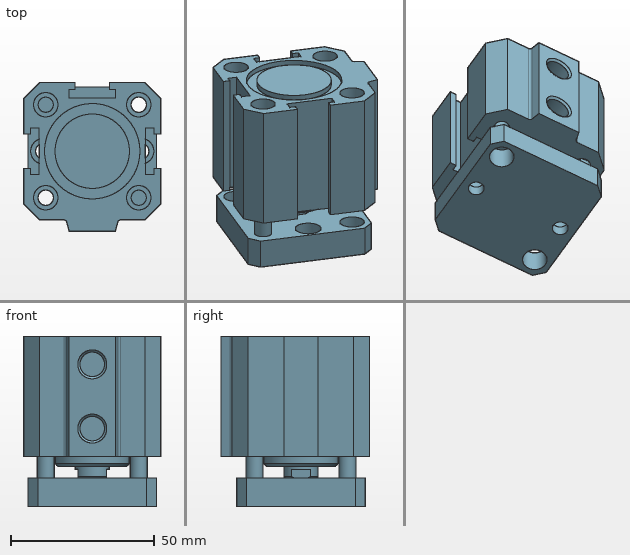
import cadquery as cq
import math

total_height = 59.5
plate_height = 10.0
gap_height = 7.5
housing_bottom = plate_height + gap_height
housing_height = total_height - housing_bottom

housing_width = 48.0
housing_chamfer = 5.6
slot_opening = 12.0
slot_inner_width = 16.3
slot_lip = 2.4
slot_depth = 5.5

pad_height = 4.0
pad_tip_width = 16.2
pad_side_angle = 15
pad_tip_half = pad_tip_width / 2
pad_root_half = pad_tip_half + pad_height * math.tan(math.radians(pad_side_angle))
pad_root_fillet = 1.0
pad_embed = 3.0

port_diameter = 8.55
port_chamfer = 0.8
port_depth = 8.0
port_lower_height = 9.75
port_upper_height = 32.2

corner_offset = 16.25
bolt_hole_diameter = 5.3
bolt_head_diameter = 8.5
bolt_head_depth = 5.5

cover_recess_diameter = 33.3
cover_diameter = 26.0
cover_recess_depth = 1.8
boss_height = 3.5
boss_chamfer = 1.0

plate_width = 45.0
plate_chamfer = 3.5
guide_rod_diameter = 6.0
access_hole_diameter = 8.5
mount_offset = 17.0
mount_hole_diameter = 5.5
mount_head_diameter = 9.0
mount_head_depth = 5.5
piston_rod_diameter = 12.0
piston_rod_chamfer = 0.5
flats_width = 10.0
flats_height = 3.0

rod_corners = [(-corner_offset, corner_offset), (corner_offset, -corner_offset)]
access_corners = [(-corner_offset, -corner_offset), (corner_offset, corner_offset)]


def chamfered_block(width, height, chamfer, bottom):
    """Square block on the Z axis with chamfered vertical edges."""
    block = cq.Workplane("XY").workplane(offset=bottom).rect(width, width).extrude(height)
    return block.edges("|Z").chamfer(chamfer)


def port_pad():
    """Trapezoid pad running the full housing height, rooted inside the housing."""
    face_y = -housing_width / 2
    outline = [
        (-pad_root_half, face_y + pad_embed),
        (-pad_root_half, face_y),
        (-pad_tip_half, face_y - pad_height),
        (pad_tip_half, face_y - pad_height),
        (pad_root_half, face_y),
        (pad_root_half, face_y + pad_embed),
    ]
    pad = cq.Workplane("XY").workplane(offset=housing_bottom).polyline(outline).close()
    return pad.extrude(housing_height)


def t_slot(angle):
    """Full-height T slot cutter for the +Y face, turned about Z by the angle."""
    face_y = housing_width / 2
    base = cq.Workplane("XY").workplane(offset=housing_bottom)
    mouth = base.center(0, face_y - slot_depth / 2).rect(slot_opening, slot_depth).extrude(housing_height)
    inner_depth = slot_depth - slot_lip
    inner_center = face_y - slot_lip - inner_depth / 2
    inner = base.center(0, inner_center).rect(slot_inner_width, inner_depth).extrude(housing_height)
    return mouth.union(inner).rotate((0, 0, 0), (0, 0, 1), angle)


def port(height):
    """Blind port cutter with a chamfered mouth, at a height above the housing bottom."""
    mouth_y = -housing_width / 2 - pad_height
    radius = port_diameter / 2
    mouth_radius = radius + port_chamfer
    profile = [
        (0, mouth_y),
        (mouth_radius, mouth_y),
        (radius, mouth_y + port_chamfer),
        (radius, mouth_y + port_depth),
        (0, mouth_y + port_depth),
    ]
    cutter = cq.Workplane("XY").polyline(profile).close().revolve(360, (0, 0, 0), (0, 1, 0))
    return cutter.translate((0, 0, housing_bottom + height))


def make_housing():
    body = chamfered_block(housing_width, housing_height, housing_chamfer, housing_bottom)

    body = body.union(port_pad())
    mid_height = housing_bottom + housing_height / 2
    for side in (-1, 1):
        root_point = (side * pad_root_half, -housing_width / 2, mid_height)
        body = body.edges(cq.NearestToPointSelector(root_point)).fillet(pad_root_fillet)

    for angle in (-90, 0, 90):
        body = body.cut(t_slot(angle))

    for height in (port_lower_height, port_upper_height):
        body = body.cut(port(height))

    top = cq.Workplane("XY").workplane(offset=total_height)
    corners = top.pushPoints(rod_corners + access_corners)
    body = body.cut(corners.circle(bolt_hole_diameter / 2).extrude(-housing_height))
    body = body.cut(corners.circle(bolt_head_diameter / 2).extrude(-bolt_head_depth))

    ring = top.circle(cover_recess_diameter / 2).circle(cover_diameter / 2).extrude(-cover_recess_depth)
    body = body.cut(ring)

    boss = cq.Workplane("XY").workplane(offset=housing_bottom).circle(cover_diameter / 2)
    boss = boss.extrude(-boss_height).faces("<Z").chamfer(boss_chamfer)
    return body.union(boss)


def piston_rod():
    """Rod from the plate up to the boss, with two flats facing -X and +X."""
    rod_length = gap_height - boss_height
    base = cq.Workplane("XY").workplane(offset=plate_height)
    rod = base.circle(piston_rod_diameter / 2).extrude(rod_length)
    rod = rod.faces("<Z").chamfer(piston_rod_chamfer)
    flat_depth = (piston_rod_diameter - flats_width) / 2
    flat_center = (piston_rod_diameter - flat_depth) / 2
    flats = base.pushPoints([(-flat_center, 0), (flat_center, 0)])
    flats = flats.rect(flat_depth, piston_rod_diameter).extrude(flats_height)
    return rod.cut(flats)


def make_slider():
    slider = chamfered_block(plate_width, plate_height, plate_chamfer, 0)
    top = cq.Workplane("XY").workplane(offset=plate_height)

    slider = slider.cut(top.pushPoints(access_corners).circle(access_hole_diameter / 2).extrude(-plate_height))

    mounts = top.pushPoints([(-mount_offset, 0), (mount_offset, 0)])
    slider = slider.cut(mounts.circle(mount_hole_diameter / 2).extrude(-plate_height))
    slider = slider.cut(mounts.circle(mount_head_diameter / 2).extrude(-mount_head_depth))

    guide_rods = top.pushPoints(rod_corners).circle(guide_rod_diameter / 2).extrude(gap_height)
    return slider.union(guide_rods).union(piston_rod())


housing = make_housing()
slider = make_slider()

result = cq.Compound.makeCompound([housing.val(), slider.val()])